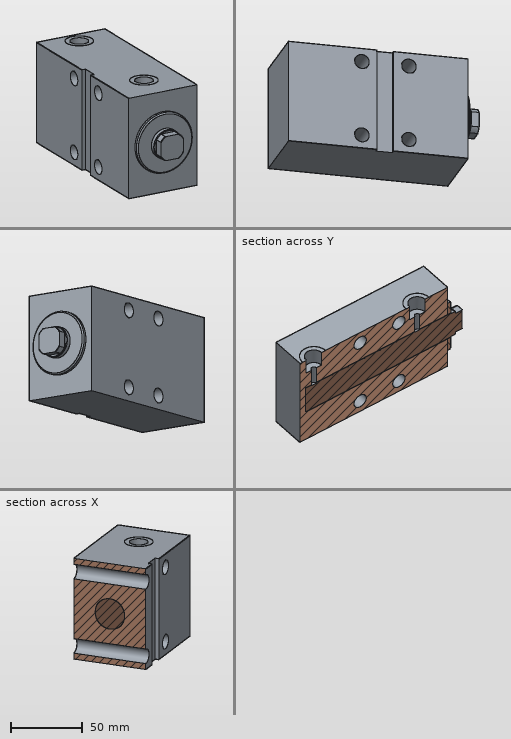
import cadquery as cq


OVERALL_LENGTH = 143.0
HOUSING_LENGTH = 130.0
HOUSING_DEPTH = 55.0
HOUSING_HEIGHT = 75.0
FRONT_CHAMFER = 0.3
FRONT_Y = -HOUSING_DEPTH / 2
TOP_Z = HOUSING_HEIGHT / 2

GROOVE_START = 63.9
GROOVE_WIDTH = 12.0
GROOVE_DEPTH = 3.0

MOUNT_DIAMETER = 10.5
MOUNT_FIRST_X = 53.0
MOUNT_SPACING_X = 34.0
MOUNT_SPACING_Z = 55.0

PORT_X_POSITIONS = (12.3, 103.2)
SPOTFACE_DIAMETER = 20.0
SPOTFACE_DEPTH = 0.1
PORT_DIAMETER = 13.2
PORT_DEPTH = 12.0
OIL_HOLE_DIAMETER = 4.0

GLAND_DIAMETER = 45.0
GLAND_THICKNESS = 3.0
GLAND_CHAMFER_LENGTH = 1.0
GLAND_CHAMFER_HEIGHT = 1.0

ROD_AXIS_Z = 0.0
ROD_START = 5.0
ROD_DIAMETER = 22.0
ROD_CHAMFER_LENGTH = 0.7
ROD_CHAMFER_HEIGHT = 0.5
ROD_END_LENGTH = 6.0
ROD_END_DIAMETER = 21.0
ROD_END_CHAMFER = 0.3
ACROSS_FLATS = 18.0
ROD_SHOULDER_X = OVERALL_LENGTH - ROD_END_LENGTH


def bar_along_x(start, end, diameter):
    """Round bar on the rod axis between two X positions."""
    return cq.Workplane("YZ", origin=(start, 0, ROD_AXIS_Z)).circle(diameter / 2).extrude(end - start)


def hole_from_top(x, diameter, bottom_z):
    """Vertical cutter from the top face down to the given height."""
    plane = cq.Workplane("XY", origin=(x, 0, bottom_z))
    return plane.circle(diameter / 2).extrude(TOP_Z - bottom_z)


def make_housing():
    housing = cq.Workplane("XY").box(
        HOUSING_LENGTH, HOUSING_DEPTH, HOUSING_HEIGHT, centered=(False, True, True)
    )
    housing = housing.faces("<Y").edges("|X").chamfer(FRONT_CHAMFER)

    groove = cq.Workplane("XY").box(
        GROOVE_WIDTH, GROOVE_DEPTH, HOUSING_HEIGHT, centered=(False, False, True)
    )
    housing = housing.cut(groove.translate((GROOVE_START, FRONT_Y, 0)))

    mount_holes = (
        cq.Workplane("XZ", origin=(MOUNT_FIRST_X + MOUNT_SPACING_X / 2, -FRONT_Y, 0))
        .rect(MOUNT_SPACING_X, MOUNT_SPACING_Z, forConstruction=True)
        .vertices()
        .circle(MOUNT_DIAMETER / 2)
        .extrude(HOUSING_DEPTH)
    )
    housing = housing.cut(mount_holes)

    for x in PORT_X_POSITIONS:
        housing = housing.cut(hole_from_top(x, SPOTFACE_DIAMETER, TOP_Z - SPOTFACE_DEPTH))
        housing = housing.cut(hole_from_top(x, PORT_DIAMETER, TOP_Z - PORT_DEPTH))
        housing = housing.cut(hole_from_top(x, OIL_HOLE_DIAMETER, ROD_AXIS_Z))

    return housing.cut(bar_along_x(ROD_START, HOUSING_LENGTH, ROD_DIAMETER))


def make_gland():
    gland_end = HOUSING_LENGTH + GLAND_THICKNESS
    gland = bar_along_x(HOUSING_LENGTH, gland_end, GLAND_DIAMETER)
    gland = gland.faces(">X").chamfer(GLAND_CHAMFER_LENGTH, GLAND_CHAMFER_HEIGHT)
    return gland.cut(bar_along_x(HOUSING_LENGTH, gland_end, ROD_DIAMETER))


def make_rod():
    shank = bar_along_x(ROD_START, ROD_SHOULDER_X, ROD_DIAMETER)
    shank = shank.faces(">X").chamfer(ROD_CHAMFER_LENGTH, ROD_CHAMFER_HEIGHT)

    rod_end = bar_along_x(ROD_SHOULDER_X, OVERALL_LENGTH, ROD_END_DIAMETER)
    rod_end = rod_end.faces(">X").chamfer(ROD_END_CHAMFER)
    square = cq.Workplane("YZ", origin=(ROD_SHOULDER_X, 0, ROD_AXIS_Z))
    rod_end = rod_end.intersect(square.rect(ACROSS_FLATS, ACROSS_FLATS).extrude(ROD_END_LENGTH))
    return shank.union(rod_end)


housing = make_housing()
gland = make_gland()
rod = make_rod()

result = cq.Compound.makeCompound([housing.val(), gland.val(), rod.val()])